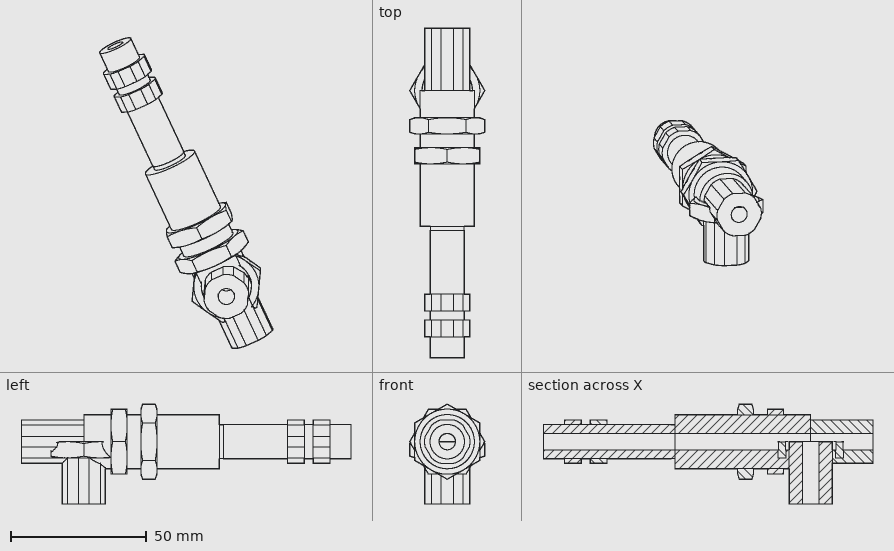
import cadquery as cq
import math


housing_diameter = 20.0
housing_length = 50.0
bore_diameter = 6.0

bar_across_flats = 16.0
bar_corner_diameter = 16.7
fitting_length = 23.0

nut_across_flats = 24.0
nut_thickness = 6.0
nut_chamfer_angle = 20.0
front_nut_start = 21.0
rear_nut_start = 10.0
branch_nut_bore = 18.5

stem_diameter = 12.7
neck_diameter = 12.5
neck_length = 1.5
stem_length = 48.5

collar_thickness = 6.25
collar_pitch = 9.5
first_collar_start = 75.0
collar_count = 2


def cylinder(diameter, start, length):
    """Cylinder along Z from the height start."""
    return cq.Workplane("XY").workplane(offset=start).circle(diameter / 2).extrude(length)


def hexagon(across_flats, length):
    """Hexagonal prism standing on Z = 0 with corners on the X axis."""
    corner_diameter = across_flats / math.cos(math.radians(30))
    return cq.Workplane("XY").polygon(6, corner_diameter).extrude(length)


def hex_bar(length, bore):
    """Hexagonal bar with cylindrically turned corners and a central bore."""
    bar = hexagon(bar_across_flats, length)
    bar = bar.intersect(cylinder(bar_corner_diameter, 0, length))
    return bar.cut(cylinder(bore, 0, length))


def lock_nut(bore):
    """Hexagonal nut with both end faces chamfered down to the across-flats circle."""
    flat_radius = nut_across_flats / 2
    corner_radius = flat_radius / math.cos(math.radians(30))
    chamfer_height = (corner_radius - flat_radius) * math.tan(math.radians(nut_chamfer_angle))
    envelope = (
        cq.Workplane("XZ")
        .moveTo(0, 0)
        .lineTo(flat_radius, 0)
        .lineTo(corner_radius, chamfer_height)
        .lineTo(corner_radius, nut_thickness - chamfer_height)
        .lineTo(flat_radius, nut_thickness)
        .lineTo(0, nut_thickness)
        .close()
        .revolve(360, (0, 0, 0), (0, 1, 0))
    )
    nut = hexagon(nut_across_flats, nut_thickness).intersect(envelope)
    return nut.cut(cylinder(bore, 0, nut_thickness))


def along_main_axis(body, start):
    """Lay a body built on +Z along -Y, starting the given distance in front of the origin."""
    return body.rotate((0, 0, 0), (1, 0, 0), 90).translate((0, -start, 0))


branch_fitting = hex_bar(fitting_length, bore_diameter).translate((0, 0, -fitting_length))
branch_nut = lock_nut(branch_nut_bore).translate((0, 0, -nut_thickness))
branch_passage = cylinder(bore_diameter, -fitting_length, fitting_length)
branch_space = branch_fitting.union(branch_passage).union(branch_nut)

rear_fitting = along_main_axis(hex_bar(fitting_length, bore_diameter), -fitting_length)
rear_fitting = rear_fitting.cut(branch_space)

housing = cylinder(housing_diameter, 0, housing_length)
housing = along_main_axis(housing.cut(cylinder(bore_diameter, 0, housing_length)), 0)
housing = housing.cut(branch_space)

rear_nut = along_main_axis(lock_nut(housing_diameter), rear_nut_start)
front_nut = lock_nut(housing_diameter).rotate((0, 0, 0), (0, 0, 1), 30)
front_nut = along_main_axis(front_nut, front_nut_start)

stem = cylinder(neck_diameter, 0, neck_length)
stem = stem.union(cylinder(stem_diameter, neck_length, stem_length - neck_length))
stem = along_main_axis(stem.cut(cylinder(bore_diameter, 0, stem_length)), housing_length)

collars = [
    along_main_axis(hex_bar(collar_thickness, stem_diameter), first_collar_start + i * collar_pitch)
    for i in range(collar_count)
]

result = cq.Compound.makeCompound(
    [
        housing.val(),
        rear_fitting.val(),
        branch_fitting.val(),
        branch_nut.val(),
        rear_nut.val(),
        front_nut.val(),
        stem.val(),
        *[collar.val() for collar in collars],
    ]
)